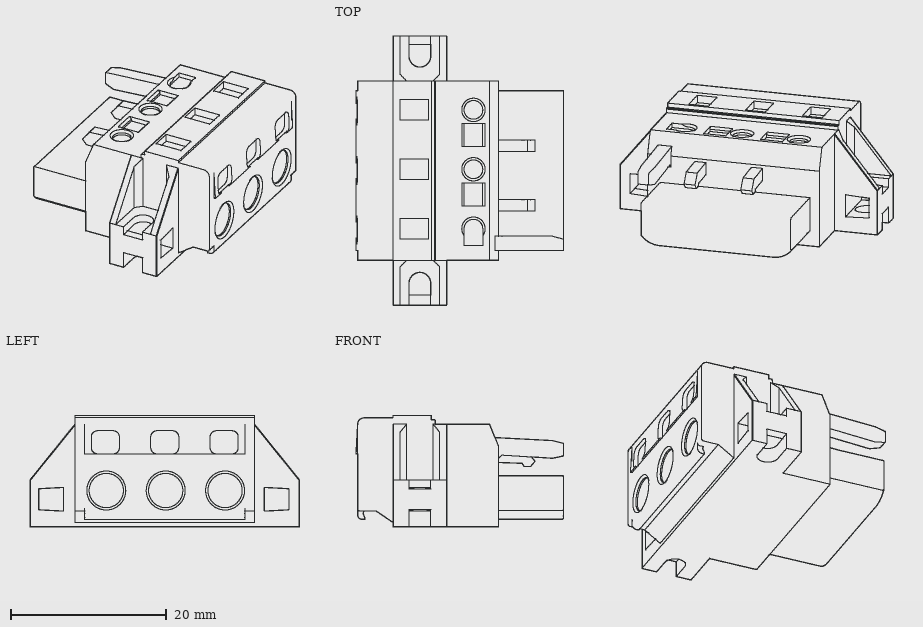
import cadquery as cq
import math

poles = 3
pitch = 7.62

body_width = 23.04
body_length = 18.1
body_height = 14.3
rear_height = 14.0
front_height = 13.17
rear_underside = 2.03
rear_underside_length = 2.36
band_start = 4.53
band_end = 9.48
lip_end = 9.98
lip_height = 13.75
lip_chamfer = 0.1
ramp_start_height = 0.56
nose_start = 16.95
nose_height = 10.3
rear_top_radius = 0.87
rear_bottom_radius = 0.3

hook_radius = 0.6
hook_thickness = 0.95
hook_root = 0.85
hook_neck = 0.72
hook_neck_height = 1.7
hook_toe_height = 1.2

ear_span = 34.58
ear_tip = ear_span / 2
ear_start = band_start
ear_end = 11.47
ear_floor = 6.03
ear_flank = 0.93
ear_inner_chamfer = 0.83
ear_edge_chamfer = 0.08
ear_slot_width = 2.76
ear_slot_bottom = 13.29
bridge_inner = 16.16
bridge_bottom = 2.2
bridge_top = 4.87
window_inner = 13.0
window_flare = 0.17
right_ear_inset = 0.22

plug_end = 26.44
plug_bottom = 0.95
plug_top = 6.58
plug_width = 20.54
plug_right = -9.83
plug_wall_bottom = 2.07
plug_curve_angle = 40
plug_end_radius = 0.2

plate_bottom = 9.36
plate_top = rear_height - rear_top_radius
plate_rise = 0.21
window_width = 3.6
window_top = 12.33
window_radius = 0.8
window_depth = 0.5
wire_radius = 2.5
wire_depth = 0.5
wire_height = 4.66
wire_shift = -0.12
entry_chamfer = 0.3
entry_angle = 45

top_shift = 0.17
clamp_start = 5.47
clamp_end = 9.1
clamp_width = 2.64
clamp_depth = 1.0
test_x = 14.87
test_radius = 1.5
test_depth = 0.6
release_size = 2.96
release_offset = 3.23
keyway_reach = 2.17

lever_inner = -8.42
lever_tip_inner = -8.8
lever_outer = -plug_width / 2
lever_embed = 1.0
lever_slope = 3
lever_taper_start = 25.0
lever_top = 11.08
lever_bottom = 8.78
lever_tip_top = 10.72
lever_tip_bottom = 9.08
lever_neck_x = 18.53
lever_neck_bottom = 9.2
lever_root_bottom = 8.8
lever_tip_radius = 0.2

latch_width = 1.48
latch_shift = -0.65
latch_root_top = 9.9
latch_root_bottom = 8.24
latch_top_end = (21.8, 9.7)
latch_shoulder = (22.03, 9.36)
latch_nose = (22.78, 8.4)
latch_hook_front = 22.2
latch_hook_rear = 21.36
latch_hook_bottom = 7.72
latch_hook_root = (21.12, 8.13)

pole_positions = [(index - (poles - 1) / 2) * pitch for index in range(poles)]


def box(x0, x1, y0, y1, z0, z1):
    return cq.Workplane("XY").box(x1 - x0, y1 - y0, z1 - z0, centered=False).translate((x0, y0, z0))


def side_profile(points, y0, y1):
    """Prism along Y between y0 and y1 from an outline of (x, z) points."""
    return cq.Workplane("XZ", origin=(0, y0, 0)).polyline(points).close().extrude(y0 - y1)


def make_body():
    outline = [
        (0, rear_underside),
        (0, rear_height),
        (band_start, rear_height),
        (band_start, body_height),
        (band_end, body_height),
        (band_end, lip_height),
        (lip_end - lip_chamfer, lip_height),
        (lip_end, lip_height - lip_chamfer),
        (lip_end, front_height),
        (nose_start, front_height),
        (body_length, nose_height),
        (body_length, 0),
        (band_start, 0),
        (band_start, ramp_start_height),
        (rear_underside_length, rear_underside),
    ]
    body = side_profile(outline, -body_width / 2, body_width / 2)
    body = body.faces("<X").edges("|Y").edges(">Z").fillet(rear_top_radius)
    return body.faces("<X").edges("|Y").edges("<Z").fillet(rear_bottom_radius)


def make_hook():
    """Small lip hanging from the lower rear edge of the housing."""
    root_top = rear_underside + rear_bottom_radius
    return (
        cq.Workplane("XZ", origin=(0, plug_width / 2, 0))
        .moveTo(0, root_top)
        .lineTo(0, plug_bottom + hook_radius)
        .radiusArc((hook_radius, plug_bottom), -hook_radius)
        .lineTo(hook_thickness, plug_bottom)
        .lineTo(hook_thickness, hook_toe_height)
        .lineTo(hook_neck, hook_neck_height)
        .lineTo(hook_root, rear_underside)
        .lineTo(hook_root, root_top)
        .close()
        .extrude(plug_width)
    )


def make_ear(inset):
    """Mounting ear on the +Y side, its slot and window moved inward by inset."""
    root = body_width / 2
    middle = (ear_start + ear_end) / 2
    outline = [(root, 0), (ear_tip, 0), (ear_tip, ear_floor), (root, front_height)]
    ear = (
        cq.Workplane("YZ", origin=(ear_start, 0, 0))
        .polyline(outline)
        .close()
        .extrude(ear_end - ear_start)
    )
    ear = ear.faces("<X or >X").edges("not(<Y or <Z)").chamfer(ear_edge_chamfer)

    x0 = ear_start + ear_flank
    x1 = ear_end - ear_flank
    trough = (
        cq.Workplane("XY", origin=(0, 0, ear_floor))
        .moveTo(x0, ear_tip)
        .lineTo(x0, root + ear_inner_chamfer)
        .lineTo(x0 + ear_inner_chamfer, root)
        .lineTo(x1 - ear_inner_chamfer, root)
        .lineTo(x1, root + ear_inner_chamfer)
        .lineTo(x1, ear_tip)
        .close()
        .extrude(body_height)
    )

    half = ear_slot_width / 2
    slot_centre = ear_slot_bottom - inset + half
    bridge_face = bridge_inner - inset
    window_face = window_inner - inset
    slot = box(middle - half, middle + half, slot_centre, ear_tip, 0, ear_floor)
    slot = slot.union(cq.Workplane("XY").center(middle, slot_centre).circle(half).extrude(ear_floor))
    bridge = box(middle - half, middle + half, bridge_face, ear_tip, bridge_bottom, bridge_top)

    window_outline = [
        (bridge_face, bridge_bottom),
        (bridge_face, bridge_top),
        (window_face, bridge_top + window_flare),
        (window_face, bridge_bottom - window_flare),
    ]
    window = (
        cq.Workplane("YZ", origin=(ear_start, 0, 0))
        .polyline(window_outline)
        .close()
        .extrude(ear_end - ear_start)
    )
    return ear.cut(trough).cut(slot.cut(bridge)).cut(window)


def make_plug():
    """Box whose underside curves up to each side wall, with rounded upper and lower end edges."""
    angle = math.radians(plug_curve_angle)
    radius = (plug_wall_bottom - plug_bottom) / (1 - math.sin(angle))
    run = radius * math.cos(angle)
    left = plug_width / 2
    plug = (
        cq.Workplane("YZ", origin=(body_length, 0, 0))
        .moveTo(plug_right, plug_top)
        .lineTo(plug_right, plug_wall_bottom)
        .radiusArc((plug_right + run, plug_bottom), -radius)
        .lineTo(left - run, plug_bottom)
        .radiusArc((left, plug_wall_bottom), -radius)
        .lineTo(left, plug_top)
        .close()
        .extrude(plug_end - body_length)
    )
    return plug.faces(">X").edges("not |Z").fillet(plug_end_radius)


def make_label_plate():
    """Shallow wedge on the rear face, thickest at its lower edge."""
    outline = [(0, plate_top), (-plate_rise, plate_bottom), (0, plate_bottom)]
    return side_profile(outline, -plug_width / 2, plug_width / 2)


def make_lever():
    root_x = body_length - lever_embed
    root_top = lever_top + (lever_taper_start - root_x) * math.tan(math.radians(lever_slope))
    outline = [
        (root_x, root_top),
        (lever_taper_start, lever_top),
        (plug_end, lever_tip_top),
        (plug_end, lever_tip_bottom),
        (lever_taper_start, lever_bottom),
        (lever_neck_x, lever_neck_bottom),
        (body_length, lever_root_bottom),
        (root_x, lever_root_bottom),
    ]
    lever = side_profile(outline, lever_outer, lever_inner)
    lever = lever.faces(">X").edges("|Y").fillet(lever_tip_radius)
    taper = (
        cq.Workplane("XY")
        .polyline([
            (lever_taper_start, lever_inner),
            (plug_end, lever_tip_inner),
            (plug_end, lever_inner),
        ])
        .close()
        .extrude(body_height)
    )
    return lever.cut(taper)


def make_latch(y):
    outline = [
        (body_length, latch_root_top),
        latch_top_end,
        latch_shoulder,
        latch_nose,
        (latch_hook_front, latch_hook_bottom),
        (latch_hook_rear, latch_hook_bottom),
        latch_hook_root,
        (body_length, latch_root_bottom),
    ]
    return side_profile(outline, y - latch_width / 2, y + latch_width / 2)


def make_rear_window(y):
    window_height = window_top - plate_bottom
    return (
        cq.Workplane("YZ", origin=(-plate_rise, y, (window_top + plate_bottom) / 2))
        .rect(window_width, window_height)
        .extrude(plate_rise + window_depth)
        .edges("|X")
        .fillet(window_radius)
    )


def make_round_opening(radius, depth):
    """Blind hole below Z = 0 with a conical lead-in of the given mouth radius."""
    hole = cq.Workplane("XY").circle(radius - entry_chamfer).extrude(-depth)
    lead_in = cq.Workplane("XY").circle(radius).extrude(-entry_chamfer, taper=entry_angle)
    return hole.union(lead_in)


def make_wire_entry(y):
    hole = make_round_opening(wire_radius, wire_depth)
    return hole.rotate((0, 0, 0), (0, 1, 0), -90).translate((0, y + wire_shift, wire_height))


def make_test_hole(y):
    return make_round_opening(test_radius, test_depth).translate((test_x, y, front_height))


def make_release_pocket(y):
    """Square pocket with sloped lead-ins on its two X sides."""
    half = release_size / 2
    floor_half = half - entry_chamfer
    floor_z = front_height - test_depth
    lead_in_z = front_height - entry_chamfer
    outline = [
        (test_x - half, front_height),
        (test_x + half, front_height),
        (test_x + floor_half, lead_in_z),
        (test_x + floor_half, floor_z),
        (test_x - floor_half, floor_z),
        (test_x - floor_half, lead_in_z),
    ]
    return side_profile(outline, y - half, y + half)


def make_keyway(y):
    """Straight slot that opens the last test hole towards -Y."""
    half = test_radius - entry_chamfer
    return box(test_x - half, test_x + half, y - keyway_reach, y, front_height - test_depth, front_height)


def make_clamp_pocket(y):
    half = clamp_width / 2
    return box(clamp_start, clamp_end, y - half, y + half, body_height - clamp_depth, body_height)


result = make_body().union(make_hook()).union(make_plug()).union(make_label_plate()).union(make_lever())
result = result.union(make_ear(0)).union(make_ear(right_ear_inset).mirror("XZ"))

for pole_y in pole_positions[1:]:
    result = result.union(make_latch(pole_y - pitch / 2 + latch_shift))

for pole_y in pole_positions:
    top_y = pole_y + top_shift
    result = result.cut(make_rear_window(pole_y)).cut(make_wire_entry(pole_y))
    result = result.cut(make_clamp_pocket(top_y)).cut(make_test_hole(top_y))
    if pole_y == pole_positions[0]:
        result = result.cut(make_keyway(top_y))
    else:
        result = result.cut(make_release_pocket(top_y - release_offset))